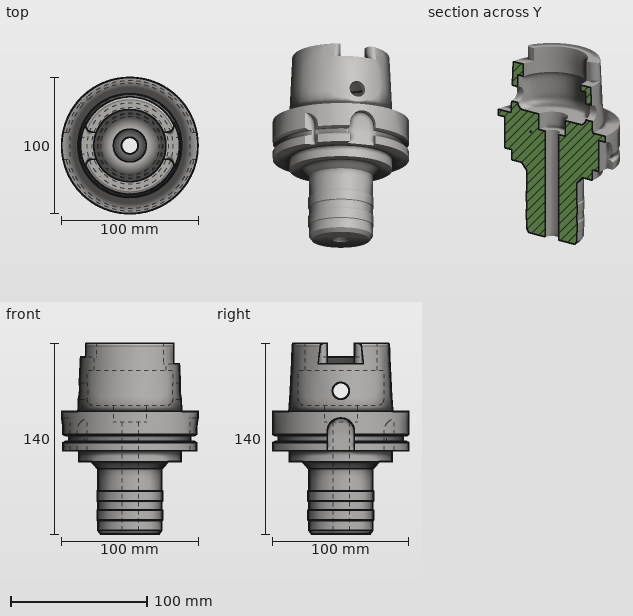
import cadquery as cq
import math

total_height = 140.0
taper_length = 50.0
flange_thickness = 29.0
collar_thickness = 8.0
neck_height = 5.2

flange_top = total_height - taper_length
flange_bottom = flange_top - flange_thickness
collar_bottom = flange_bottom - collar_thickness
neck_bottom = collar_bottom - neck_height

flange_radius = 50.0
collar_radius = 37.7
neck_radius = 28.1
stem_radius = 23.5
band_radius = 24.1

taper_base_radius = 38.1
diameter_taper = 0.1
taper_top_radius = taper_base_radius - taper_length * diameter_taper / 2
mouth_fillet = 2.0

groove_floor_radius = 45.9
groove_ledge_radius = 47.9
groove_half_width = 2.0
groove_bevel_height = 1.3
groove_height = 70.0

band_width = 8.0
band_chamfer = band_radius - stem_radius
band_bottoms = (10.0, 24.0)
stem_chamfer_height = 3.0
stem_chamfer_width = 2.1

mouth_bore_radius = 26.5
mouth_bore_depth = 19.9
chamber_radius = 31.5
chamber_depth = 45.6
chamber_fillet = 5.0
counterbore_radius = 12.0
counterbore_depth = 12.0
through_hole_radius = 6.0

mouth_slot_width = 19.9
mouth_slot_flare = 4.9
lobe_half_length = 32.3
left_slot_depth = 10.1
right_slot_depth = 15.0

cross_hole_radius = 6.0
cross_hole_height = 105.0

flange_slot_width = 19.9
flange_slot_top = 85.1
drive_slot_floor = 44.0
index_slot_floor = 31.6
index_slot_y = 41.3


def revolve_profile(points):
    """Turn an (R, Z) outline about the Z axis."""
    return cq.Workplane("XZ").polyline(points).close().revolve(360, (0, 0, 0), (0, 1, 0))


def cylinder(radius, bottom, top):
    return cq.Workplane("XY").workplane(offset=bottom).circle(radius).extrude(top - bottom)


def make_body():
    body = revolve_profile([
        (0, 0),
        (stem_radius - stem_chamfer_width, 0),
        (stem_radius, stem_chamfer_height),
        (stem_radius, neck_bottom),
        (neck_radius, collar_bottom),
        (collar_radius, collar_bottom),
        (collar_radius, flange_bottom),
        (flange_radius, flange_bottom),
        (flange_radius, flange_top),
        (taper_base_radius, flange_top),
        (taper_top_radius, total_height),
        (0, total_height),
    ])
    body = body.faces(">Z").edges().fillet(mouth_fillet)
    for bottom in band_bottoms:
        band = cylinder(band_radius, bottom, bottom + band_width)
        body = body.union(band.edges().chamfer(band_chamfer))
    return body


def make_groove():
    rim = groove_half_width + groove_bevel_height
    return revolve_profile([
        (flange_radius, groove_height - rim),
        (groove_ledge_radius, groove_height - groove_half_width),
        (groove_floor_radius, groove_height - groove_half_width),
        (groove_floor_radius, groove_height + groove_half_width),
        (groove_ledge_radius, groove_height + groove_half_width),
        (flange_radius, groove_height + rim),
    ])


def make_bore():
    chamber_top = total_height - mouth_bore_depth
    chamber_floor = total_height - chamber_depth
    chamber = cylinder(chamber_radius, chamber_floor, chamber_top)
    chamber = chamber.faces("<Z").edges().fillet(chamber_fillet)
    bore = cylinder(through_hole_radius, 0, total_height)
    bore = bore.union(cylinder(counterbore_radius, chamber_floor - counterbore_depth, chamber_floor))
    bore = bore.union(cylinder(mouth_bore_radius, chamber_top, total_height))
    return bore.union(chamber)


def make_mouth_slot(side, depth):
    """Slot toward side * X whose walls flare outward in quarter rounds."""
    half_width = mouth_slot_width / 2
    flare_start = lobe_half_length - mouth_slot_flare
    flare_y = half_width + mouth_slot_flare
    arc_x = flare_start + mouth_slot_flare * math.sin(math.pi / 4)
    arc_y = flare_y - mouth_slot_flare * math.cos(math.pi / 4)
    reach = flange_radius
    return (
        cq.Workplane("XY").workplane(offset=total_height - depth)
        .moveTo(0, -half_width)
        .lineTo(side * flare_start, -half_width)
        .threePointArc((side * arc_x, -arc_y), (side * lobe_half_length, -flare_y))
        .lineTo(side * lobe_half_length, -reach)
        .lineTo(side * reach, -reach)
        .lineTo(side * reach, reach)
        .lineTo(side * lobe_half_length, reach)
        .lineTo(side * lobe_half_length, flare_y)
        .threePointArc((side * arc_x, arc_y), (side * flare_start, half_width))
        .lineTo(0, half_width)
        .close().extrude(depth)
    )


def make_flange_slot(side, center_y, floor):
    """Slot cut along X from the rim to a flat floor, open downward."""
    half_width = flange_slot_width / 2
    arc_base = flange_slot_top - half_width
    return (
        cq.Workplane("YZ").workplane(offset=side * floor)
        .moveTo(center_y - half_width, flange_bottom)
        .lineTo(center_y - half_width, arc_base)
        .threePointArc((center_y, flange_slot_top), (center_y + half_width, arc_base))
        .lineTo(center_y + half_width, flange_bottom)
        .close().extrude(side * (flange_radius - floor))
    )


def make_cross_hole():
    return (
        cq.Workplane("YZ").center(0, cross_hole_height)
        .circle(cross_hole_radius).extrude(flange_radius, both=True)
    )


result = (
    make_body()
    .cut(make_groove())
    .cut(make_bore())
    .cut(make_mouth_slot(-1, left_slot_depth))
    .cut(make_mouth_slot(1, right_slot_depth))
    .cut(make_cross_hole())
    .cut(make_flange_slot(-1, 0, drive_slot_floor))
    .cut(make_flange_slot(1, 0, drive_slot_floor))
    .cut(make_flange_slot(-1, index_slot_y, index_slot_floor))
)